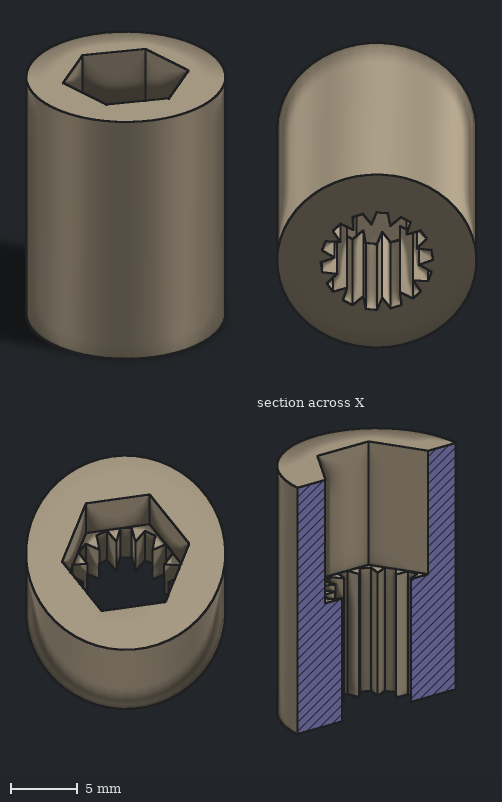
import cadquery as cq
import math

length = 20
outer_diameter = 15

hex_across_flats = 8.35
hex_depth = length / 2

tooth_count = 14
tip_radius = 3.2
root_radius = 4.22
root_half_width = 0.52

tooth_pitch = 360 / tooth_count
root_half_angle = math.degrees(math.asin(root_half_width / root_radius))


def polar_point(radius, degrees):
    angle = math.radians(degrees)
    return (radius * math.cos(angle), radius * math.sin(angle))


def spline_bore():
    """Bore from the bottom up to the socket, whose wall carries pointed teeth, one of them on +Y."""
    points = []
    for index in range(tooth_count):
        tooth_angle = 90 + index * tooth_pitch
        points.append(polar_point(root_radius, tooth_angle - root_half_angle))
        points.append(polar_point(tip_radius, tooth_angle))
        points.append(polar_point(root_radius, tooth_angle + root_half_angle))
    return cq.Workplane("XY").polyline(points).close().extrude(length - hex_depth)


def hex_socket():
    """Hexagonal socket open at the top, with two corners on the Y axis."""
    across_corners = hex_across_flats / math.cos(math.radians(30))
    return (
        cq.Workplane("XY", origin=(0, 0, length - hex_depth))
        .transformed(rotate=(0, 0, 90))
        .polygon(6, across_corners)
        .extrude(hex_depth)
    )


sleeve = cq.Workplane("XY").circle(outer_diameter / 2).extrude(length)
result = sleeve.cut(spline_bore()).cut(hex_socket())